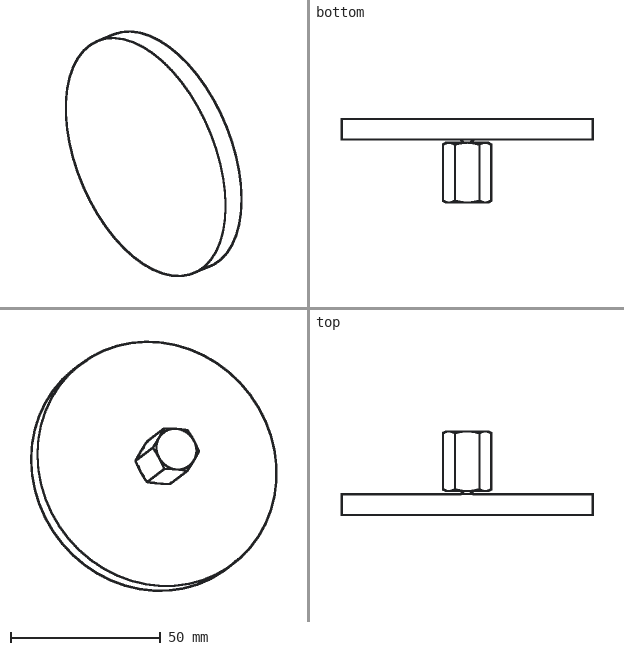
import cadquery as cq
import math

disc_diameter = 84.0
disc_thickness = 7.0

neck_base_diameter = 4.4
neck_tip_diameter = 2.35
neck_length = 1.0

hex_across_flats = 14.0
hex_length = 20.0
chamfer_angle = 30.0

hex_across_corners = hex_across_flats / math.cos(math.radians(30))
hex_start = disc_thickness + neck_length
hex_end = hex_start + hex_length


def make_disc():
    """Round disc with its conical neck, revolved about the Y axis."""
    return (
        cq.Workplane("XY")
        .lineTo(disc_diameter / 2, 0)
        .lineTo(disc_diameter / 2, disc_thickness)
        .lineTo(neck_base_diameter / 2, disc_thickness)
        .lineTo(neck_tip_diameter / 2, hex_start)
        .lineTo(0, hex_start)
        .close()
        .revolve(360, (0, 0), (0, 1))
    )


def make_hex_body():
    """Hexagonal prism whose corners are cut back by a cone at both ends."""
    end_radius = hex_across_flats / 2
    corner_radius = hex_across_corners / 2
    chamfer_height = (corner_radius - end_radius) * math.tan(math.radians(chamfer_angle))

    prism = (
        cq.Workplane("XZ", origin=(0, hex_start, 0))
        .polygon(6, hex_across_corners)
        .extrude(-hex_length)
    )
    chamfer_envelope = (
        cq.Workplane("XY")
        .moveTo(0, hex_start)
        .lineTo(end_radius, hex_start)
        .lineTo(corner_radius, hex_start + chamfer_height)
        .lineTo(corner_radius, hex_end - chamfer_height)
        .lineTo(end_radius, hex_end)
        .lineTo(0, hex_end)
        .close()
        .revolve(360, (0, 0), (0, 1))
    )
    return prism.intersect(chamfer_envelope)


disc = make_disc()
hex_body = make_hex_body()
result = cq.Compound.makeCompound([disc.val(), hex_body.val()])